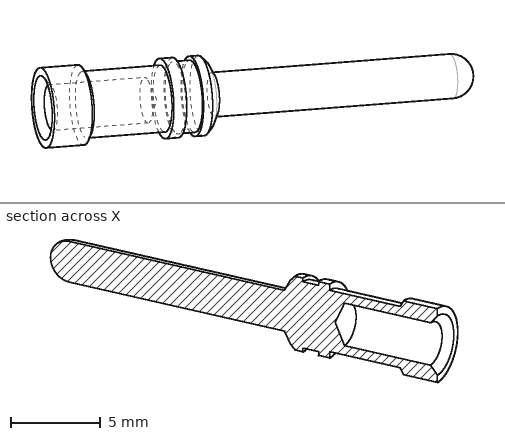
import cadquery as cq
import math

total_length = 25.0

flange_radius = 2.25
groove_radius = 2.02
barrel_radius = 1.88
shoulder_radius = 1.92
pin_radius = 1.25
mouth_radius = 1.8
bore_radius = 1.28

collar_length = 2.2
collar_chamfer_end = 2.42
rear_flange_start = 6.95
groove_start = 7.7
groove_end = 8.68
front_flange_end = 9.2
shoulder_end = 9.52
pin_start = 9.9

countersink_depth = 0.45
bore_depth = 6.0
drill_point_angle = 130.0

open_end = -total_length / 2


def revolve_profile(start, outline):
    """Close a (radius, distance) outline on the axis and turn it about Y."""
    profile = cq.Workplane("XY", origin=(0, open_end, 0)).moveTo(*start)
    return outline(profile).close().revolve(360, (0, 0, 0), (0, 1, 0))


def body_outline(profile):
    """Outer outline from the open end to the hemispherical pin tip."""
    steps = [
        (flange_radius, 0),
        (flange_radius, collar_length),
        (barrel_radius, collar_chamfer_end),
        (barrel_radius, rear_flange_start),
        (flange_radius, rear_flange_start),
        (flange_radius, groove_start),
        (groove_radius, groove_start),
        (groove_radius, groove_end),
        (flange_radius, groove_end),
        (flange_radius, front_flange_end),
        (shoulder_radius, shoulder_end),
        (pin_radius, pin_start),
    ]
    for step in steps:
        profile = profile.lineTo(*step)
    nose_center = total_length - pin_radius
    nose_offset = pin_radius * math.sqrt(0.5)
    profile = profile.lineTo(pin_radius, nose_center)
    return profile.threePointArc(
        (nose_offset, nose_center + nose_offset),
        (0, total_length),
    )


def bore_outline(profile):
    """Countersunk mouth, straight bore and conical drill point."""
    point_depth = bore_radius / math.tan(math.radians(drill_point_angle / 2))
    return (
        profile.lineTo(mouth_radius, 0)
        .lineTo(bore_radius, countersink_depth)
        .lineTo(bore_radius, bore_depth)
        .lineTo(0, bore_depth + point_depth)
    )


body = revolve_profile((0, 0), body_outline)
wire_bore = revolve_profile((0, 0), bore_outline)
result = body.cut(wire_bore)